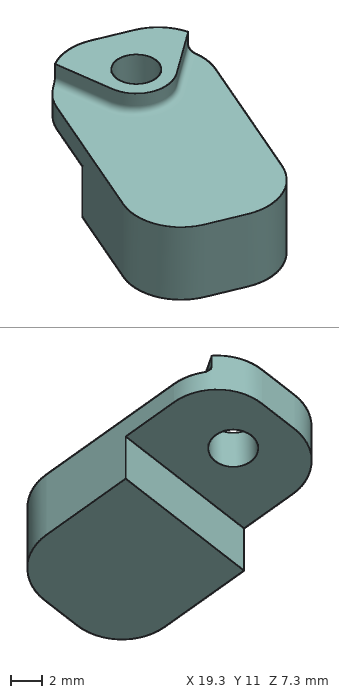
import cadquery as cq
import math

length = 19.3
width = 11.0
height = 7.3
corner_radius = 4.0
boss_height = 1.5
plate_thickness = 1.75
step_x = 8.28
hole_diameter = 3.2
boss_radius = 2.62
boss_flank_angle = 31.5
boss_fillet = 0.5
margin = 1.93

plate_top = height - boss_height
plate_bottom = plate_top - plate_thickness
hole_x = corner_radius


def make_stock():
    """Oversize slab for the plate, so the boss fillet can run past the outline."""
    return (
        cq.Workplane("XY", origin=(0, 0, plate_bottom))
        .center(length / 2, 0)
        .rect(length + 2 * margin, width + 2 * margin)
        .extrude(plate_thickness)
    )


def make_boss():
    """Rounded nose around the hole, with flanks spreading toward the thin end."""
    angle = math.radians(boss_flank_angle)
    tangent_x = hole_x + boss_radius * math.sin(angle)
    tangent_y = boss_radius * math.cos(angle)
    end_y = tangent_y + tangent_x * math.tan(angle)
    return (
        cq.Workplane("XY", origin=(0, 0, plate_top))
        .moveTo(0, -end_y)
        .lineTo(tangent_x, -tangent_y)
        .threePointArc((hole_x + boss_radius, 0), (tangent_x, tangent_y))
        .lineTo(0, end_y)
        .close()
        .extrude(boss_height)
    )


def make_outline():
    """Full-height prism with the rounded rectangular outline of the part."""
    return (
        cq.Workplane("XY")
        .center(length / 2, 0)
        .rect(length, width)
        .extrude(height)
        .edges("|Z")
        .fillet(corner_radius)
    )


def make_block():
    """Thick block below the plate."""
    return (
        cq.Workplane("XY")
        .center((step_x + length) / 2, 0)
        .rect(length - step_x, width)
        .extrude(plate_top)
    )


foot_zone = cq.selectors.BoxSelector(
    (boss_fillet, -width / 2, plate_top - boss_fillet),
    (step_x, width / 2, plate_top + boss_fillet),
)
plate = make_stock().union(make_boss()).edges(foot_zone).fillet(boss_fillet)

hole = (
    cq.Workplane("XY")
    .center(hole_x, 0)
    .circle(hole_diameter / 2)
    .extrude(height)
)

result = plate.union(make_block()).intersect(make_outline()).cut(hole)